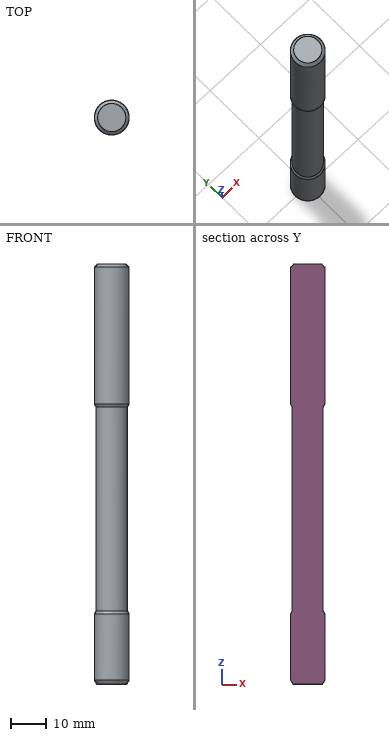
import cadquery as cq

length = 120.0
end_diameter = 10.0
shank_diameter = 9.0
upper_end_length = 40.0
lower_end_length = 20.0
shoulder_taper = 0.9
top_chamfer = 1.0
bottom_chamfer_width = 0.7
bottom_chamfer_height = 1.2

end_radius = end_diameter / 2
shank_radius = shank_diameter / 2
bottom = -length / 2
top = length / 2
lower_shoulder = bottom + lower_end_length
upper_shoulder = top - upper_end_length

profile = [
    (0, bottom),
    (end_radius - bottom_chamfer_width, bottom),
    (end_radius, bottom + bottom_chamfer_height),
    (end_radius, lower_shoulder),
    (shank_radius, lower_shoulder + shoulder_taper),
    (shank_radius, upper_shoulder - shoulder_taper),
    (end_radius, upper_shoulder),
    (end_radius, top - top_chamfer),
    (end_radius - top_chamfer, top),
    (0, top),
]

result = cq.Workplane("XZ").polyline(profile).close().revolve(360, (0, 0), (0, 1))